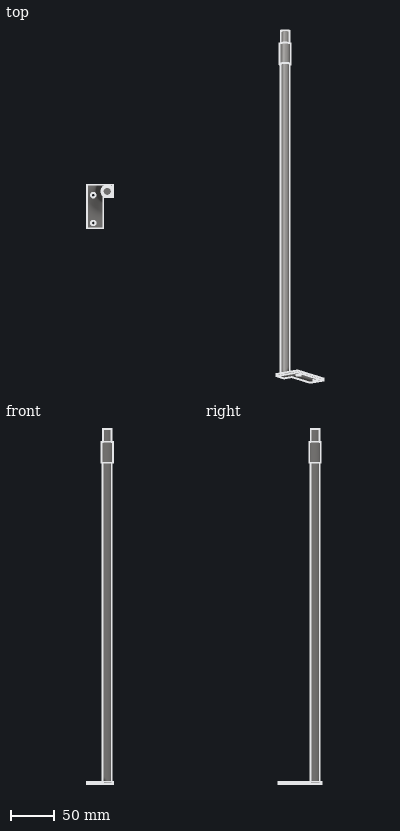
import cadquery as cq

PLATE_LENGTH = 50.0
PLATE_WIDTH = 19.0
PLATE_THICKNESS = 2.6
FOOT_WIDTH = 30.0
TAB_DEPTH = 14.5

HOLE_DIAMETER = 5.0
HOLE_EDGE_OFFSET = 7.25
HOLE_FRONT_OFFSET = 6.0
HOLE_SPACING = 32.0

ROD_LENGTH = 405.0
SHAFT_DIAMETER = 10.9
COLLAR_DIAMETER = 13.4
COLLAR_LENGTH = 24.0
TIP_DIAMETER = 10.2
TIP_LENGTH = 15.0
ROD_REAR_OFFSET = 7.7

ROD_X = FOOT_WIDTH - COLLAR_DIAMETER / 2
ROD_Y = PLATE_LENGTH - ROD_REAR_OFFSET
SHAFT_LENGTH = ROD_LENGTH - COLLAR_LENGTH - TIP_LENGTH


def make_foot_plate():
    """L-shaped plate lying on the XY plane."""
    tab_front_y = PLATE_LENGTH - TAB_DEPTH
    return (
        cq.Workplane("XY")
        .moveTo(0, 0)
        .lineTo(PLATE_WIDTH, 0)
        .lineTo(PLATE_WIDTH, tab_front_y)
        .lineTo(FOOT_WIDTH, tab_front_y)
        .lineTo(FOOT_WIDTH, PLATE_LENGTH)
        .lineTo(0, PLATE_LENGTH)
        .close()
        .extrude(PLATE_THICKNESS)
    )


def make_screw_holes():
    """Cutters for the two through holes in the plate."""
    centres = [
        (HOLE_EDGE_OFFSET, HOLE_FRONT_OFFSET),
        (HOLE_EDGE_OFFSET, HOLE_FRONT_OFFSET + HOLE_SPACING),
    ]
    return (
        cq.Workplane("XY")
        .pushPoints(centres)
        .circle(HOLE_DIAMETER / 2)
        .extrude(PLATE_THICKNESS)
    )


def make_rod():
    """Shaft, collar and tip stacked upward from the top of the plate."""
    return (
        cq.Workplane("XY", origin=(ROD_X, ROD_Y, PLATE_THICKNESS))
        .circle(SHAFT_DIAMETER / 2)
        .extrude(SHAFT_LENGTH)
        .faces(">Z")
        .workplane()
        .circle(COLLAR_DIAMETER / 2)
        .extrude(COLLAR_LENGTH)
        .faces(">Z")
        .workplane()
        .circle(TIP_DIAMETER / 2)
        .extrude(TIP_LENGTH)
    )


foot = make_foot_plate().cut(make_screw_holes())
result = foot.union(make_rod())